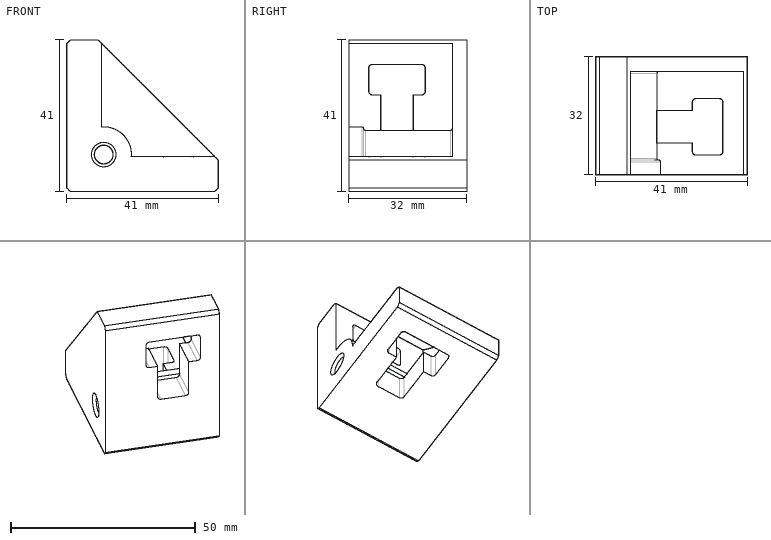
import cadquery as cq
import math

size = 41.0
depth = 32.0
leg = 9.47
corner_chamfer = 1.0
gusset_thickness = 4.0
gusset_front = depth - gusset_thickness

boss_center = 10.0
boss_radius = 6.55
collar_radius = 7.5
collar_length = 3.53
step_radius = (collar_radius - boss_radius) / 2
boss_end_fillet = 0.5

hole_radius = 2.5
countersink_radius = 3.32
countersink_depth = countersink_radius - hole_radius

slot_center_y = 13.0
stem_start = 15.45
head_start = 26.15
head_end = 34.3
stem_width = 8.7
head_width = 15.2
slot_corner_radius = 0.9


def make_gusset():
    """Triangular web joining the legs at the back, sloped between their inner bevels."""
    leg_tip = size - corner_chamfer
    return (
        cq.Workplane("XZ")
        .polyline([(0, 0), (leg_tip, 0), (leg_tip, leg), (leg, leg_tip), (0, leg_tip)])
        .close()
        .extrude(-gusset_thickness)
        .translate((0, gusset_front, 0))
    )


def make_envelope():
    """Full-depth outer outline, limiting the bracket to its chamfered profile."""
    c = corner_chamfer
    leg_end = leg - c
    return (
        cq.Workplane("XZ")
        .polyline([
            (c, 0), (size - c, 0), (size, c), (size, leg_end),
            (leg_end, size), (c, size), (0, size - c), (0, c),
        ])
        .close()
        .extrude(-depth)
    )


def revolve_about_boss(profile):
    """Revolve a (radius, y) profile about the boss axis."""
    solid = profile.close().revolve(360, (0, 0, 0), (0, 1, 0))
    return solid.translate((boss_center, 0, boss_center))


def make_boss():
    """Boss with an S-shaped step at the collar and a fillet at the gusset."""
    middle_radius = boss_radius + step_radius
    step_middle = collar_length + step_radius
    step_end = collar_length + 2 * step_radius
    flare_start = gusset_front - boss_end_fillet
    diagonal = math.sqrt(0.5)
    profile = (
        cq.Workplane("XY")
        .lineTo(collar_radius, 0)
        .lineTo(collar_radius, collar_length)
        .threePointArc(
            (middle_radius + step_radius * diagonal, collar_length + step_radius * diagonal),
            (middle_radius, step_middle),
        )
        .threePointArc(
            (middle_radius - step_radius * diagonal, step_end - step_radius * diagonal),
            (boss_radius, step_end),
        )
        .lineTo(boss_radius, flare_start)
        .threePointArc(
            (
                boss_radius + boss_end_fillet * (1 - diagonal),
                flare_start + boss_end_fillet * diagonal,
            ),
            (boss_radius + boss_end_fillet, gusset_front),
        )
        .lineTo(0, gusset_front)
    )
    return revolve_about_boss(profile)


def make_hole():
    """Through hole countersunk at both ends."""
    profile = cq.Workplane("XY").polyline([
        (0, 0),
        (countersink_radius, 0),
        (hole_radius, countersink_depth),
        (hole_radius, depth - countersink_depth),
        (countersink_radius, depth),
        (0, depth),
    ])
    return revolve_about_boss(profile)


def make_base_slot():
    """T-slot through the bottom leg, with its wide head towards the leg end."""
    head_length = head_end - head_start
    stem_length = head_start - stem_start
    head = (
        cq.Workplane("XY")
        .center(head_start + head_length / 2, slot_center_y)
        .rect(head_length, head_width)
        .extrude(leg)
        .edges("|Z")
        .fillet(slot_corner_radius)
    )
    stem = (
        cq.Workplane("XY")
        .center(stem_start + stem_length / 2, slot_center_y)
        .rect(stem_length, stem_width)
        .extrude(leg)
        .edges("|Z and <X")
        .fillet(slot_corner_radius)
    )
    return head.union(stem)


def swap_legs(solid):
    """Swap X and Z by a half turn about X = Z for a solid symmetric about the slot center."""
    return solid.rotate((0, slot_center_y, 0), (0.4, slot_center_y, 0.4), 180)


bottom_leg = cq.Workplane("XY").box(size, depth, leg, centered=False)
wall_leg = cq.Workplane("XY").box(leg, depth, size, centered=False)
legs = bottom_leg.union(wall_leg)
base_slot = make_base_slot()
wall_slot = swap_legs(base_slot)

boss_beyond_legs = make_boss().cut(legs)
result = (
    legs.union(make_gusset())
    .intersect(make_envelope())
    .cut(base_slot)
    .cut(wall_slot)
    .union(boss_beyond_legs)
    .cut(make_hole())
)